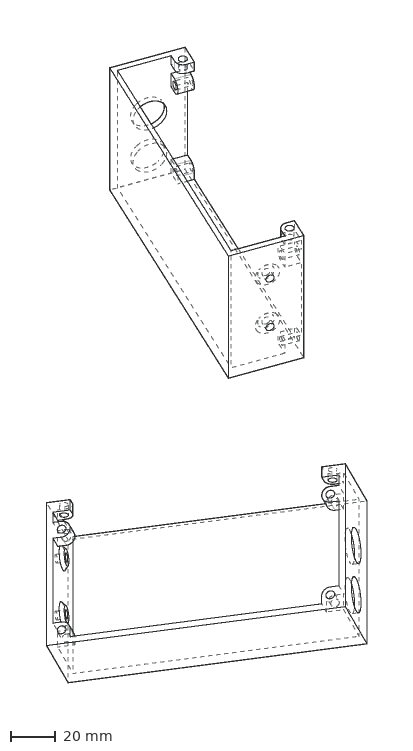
import cadquery as cq

length = 138.58
depth = 36.5
height = 72.56
wall = 3.0
front_wall = 2.5
floor = 3.0

right = length / 2
back = depth / 2
top = height / 2
inner_right = right - wall
inner_floor = floor - top

boss_size = 8.0
boss_radius = boss_size / 2
screw_diameter = 4.0
lid_boss_height = 5.3
boss_centre_x = inner_right - boss_radius
boss_centre_y = back - boss_radius
upper_boss_z = top - 14.5
lower_boss_z = inner_floor + boss_radius

port_diameter = 16.3
port_y = 0.0
port_spacing = 25.0
lower_port_z = 15.5 - top

bump_base_diameter = 11.8
bump_tip_diameter = 8.0
bump_height = 1.8
bump_hole_diameter = 4.0
bump_y = 1.9
bump_spacing = 28.8
lower_bump_z = 23.7 - top


def shell():
    """Box hollowed out from its open top and back."""
    body = cq.Workplane("XY").box(length, depth, height)
    cavity = cq.Workplane("XY").box(
        length - 2 * wall, depth - front_wall, height - floor
    ).translate((0, front_wall / 2, floor / 2))
    return body.cut(cavity)


def lid_boss():
    """Upright boss at the top of the right back corner, with its free corner rounded."""
    plane = cq.Workplane("XY", origin=(boss_centre_x, boss_centre_y, top - lid_boss_height))
    barrel = plane.circle(boss_radius).extrude(lid_boss_height)
    wall_web = plane.center(boss_radius / 2, 0).rect(boss_radius, boss_size).extrude(lid_boss_height)
    back_web = plane.center(0, boss_radius / 2).rect(boss_size, boss_radius).extrude(lid_boss_height)
    bore = plane.circle(screw_diameter / 2).extrude(lid_boss_height)
    return barrel.union(wall_web).union(back_web).cut(bore)


def back_boss(z):
    """Boss along Y on the right end wall: a bored barrel joined to the wall by a flat-sided web."""
    plane = cq.Workplane("XZ", origin=(boss_centre_x, back, z))
    barrel = plane.circle(boss_radius).extrude(boss_size)
    wall_web = plane.center(boss_radius / 2, 0).rect(boss_radius, boss_size).extrude(boss_size)
    bore = plane.circle(screw_diameter / 2).extrude(boss_size)
    return barrel.union(wall_web).cut(bore)


def floor_boss():
    """Back boss resting on the floor, squared off below its centre line."""
    plane = cq.Workplane("XZ", origin=(boss_centre_x, back, lower_boss_z))
    foot = plane.center(0, -boss_radius / 2).rect(boss_size, boss_radius).extrude(boss_size)
    bore = plane.circle(screw_diameter / 2).extrude(boss_size)
    return back_boss(lower_boss_z).union(foot).cut(bore)


def port(z):
    """Cutter for a round port through the left end wall."""
    return cq.Workplane("YZ", origin=(-right, port_y, z)).circle(port_diameter / 2).extrude(wall)


def bump(z):
    """Truncated cone standing on the inner face of the right end wall."""
    return (
        cq.Workplane("YZ", origin=(inner_right, bump_y, z))
        .circle(bump_base_diameter / 2)
        .workplane(offset=-bump_height)
        .circle(bump_tip_diameter / 2)
        .loft()
    )


def bump_hole(z):
    """Cutter for the hole through a bump and the wall behind it."""
    start = inner_right - bump_height
    return cq.Workplane("YZ", origin=(start, bump_y, z)).circle(bump_hole_diameter / 2).extrude(right - start)


result = shell()
for boss in (lid_boss(), back_boss(upper_boss_z), floor_boss()):
    result = result.union(boss).union(boss.mirror("YZ"))
for z in (lower_port_z, lower_port_z + port_spacing):
    result = result.cut(port(z))
for z in (lower_bump_z, lower_bump_z + bump_spacing):
    result = result.union(bump(z)).cut(bump_hole(z))